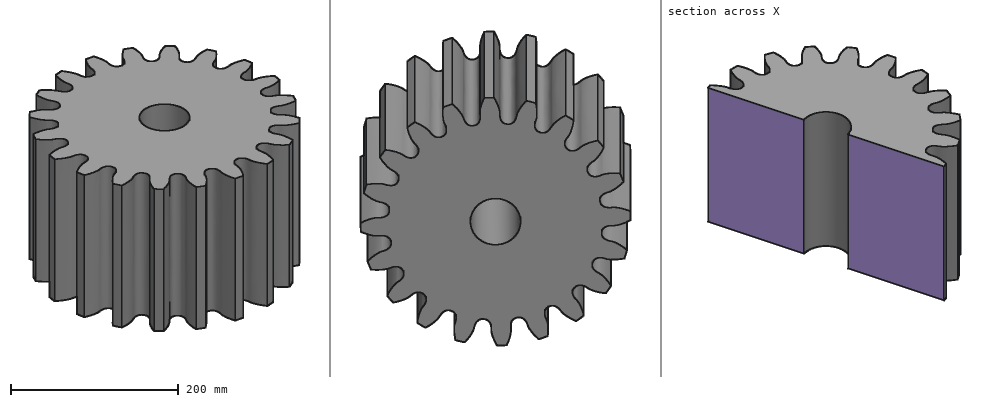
import cadquery as cq
import math

MODULE = 15.0
TOOTH_COUNT = 20
PRESSURE_ANGLE = math.radians(20.0)
PROFILE_SHIFT = -0.25
ADDENDUM_FACTOR = 1.0
DEDENDUM_FACTOR = 1.25
RACK_TIP_FACTOR = 0.38
FACE_WIDTH = 200.0
BORE_DIAMETER = 60.0

FLANK_STEPS = 6
FILLET_STEPS = 8
BISECTION_STEPS = 50

PITCH_RADIUS = MODULE * TOOTH_COUNT / 2
BASE_RADIUS = PITCH_RADIUS * math.cos(PRESSURE_ANGLE)
TIP_RADIUS = PITCH_RADIUS + MODULE * (ADDENDUM_FACTOR + PROFILE_SHIFT)
ROOT_RADIUS = PITCH_RADIUS - MODULE * (DEDENDUM_FACTOR - PROFILE_SHIFT)

TOOTH_PITCH = 2 * math.pi / TOOTH_COUNT
PITCH_TOOTH_THICKNESS = MODULE * (math.pi / 2 + 2 * PROFILE_SHIFT * math.tan(PRESSURE_ANGLE))
INVOLUTE_OF_PRESSURE_ANGLE = math.tan(PRESSURE_ANGLE) - PRESSURE_ANGLE
BASE_HALF_ANGLE = PITCH_TOOTH_THICKNESS / (2 * PITCH_RADIUS) + INVOLUTE_OF_PRESSURE_ANGLE

RACK_TIP_RADIUS = RACK_TIP_FACTOR * MODULE
CORNER_DEPTH = PITCH_RADIUS - ROOT_RADIUS - RACK_TIP_RADIUS
RACK_TIP_HALF_WIDTH = MODULE * (math.pi / 4 - DEDENDUM_FACTOR * math.tan(PRESSURE_ANGLE))
CORNER_INSET = RACK_TIP_RADIUS * (1 - math.sin(PRESSURE_ANGLE)) / math.cos(PRESSURE_ANGLE)
CORNER_OFFSET = RACK_TIP_HALF_WIDTH - CORNER_INSET


def polar_point(radius, angle):
    return (radius * math.cos(angle), radius * math.sin(angle))


def involute_polar(fraction):
    """Radius and angle from the tooth centre, from the base circle (0) to the tip (1)."""
    roll = fraction * math.sqrt((TIP_RADIUS / BASE_RADIUS) ** 2 - 1)
    radius = BASE_RADIUS * math.hypot(1, roll)
    return radius, BASE_HALF_ANGLE - (roll - math.atan(roll))


def fillet_polar(travel):
    """Radius and angle from the gap centre, for the rack corner's travel past the pitch point."""
    reach = 1 + RACK_TIP_RADIUS / math.hypot(CORNER_DEPTH, travel)
    radial = PITCH_RADIUS - CORNER_DEPTH * reach
    lateral = travel * reach
    angle = math.atan2(lateral, radial) - (travel - CORNER_OFFSET) / PITCH_RADIUS
    return math.hypot(radial, lateral), angle


def find_fillet_travel():
    """Rack travel at which the fillet curve reaches the base circle."""
    low = 0.0
    high = PITCH_RADIUS
    for _ in range(BISECTION_STEPS):
        middle = (low + high) / 2
        if fillet_polar(middle)[0] < BASE_RADIUS:
            low = middle
        else:
            high = middle
    return low


FILLET_TRAVEL = find_fillet_travel()


def flank_points(tooth_center, side):
    """Flank from base to tip; side -1 is clockwise of the tooth centre, +1 the other way."""
    points = []
    for step in range(FLANK_STEPS + 1):
        radius, angle = involute_polar(step / FLANK_STEPS)
        points.append(polar_point(radius, tooth_center + side * angle))
    return points


def fillet_points(gap_center, side):
    """Fillet from the root circle up to, but not including, the base circle."""
    points = []
    for step in range(FILLET_STEPS):
        radius, angle = fillet_polar(FILLET_TRAVEL * step / FILLET_STEPS)
        points.append(polar_point(radius, gap_center + side * angle))
    return points


def add_tooth(outline, tooth_center):
    """Add one tooth and the gap that follows it, counter-clockwise from base circle to base circle."""
    gap_center = tooth_center + TOOTH_PITCH / 2
    rising_flank = flank_points(tooth_center, -1)
    falling_flank = flank_points(tooth_center, 1)[::-1]
    falling_fillet = fillet_points(gap_center, -1)[::-1]
    rising_fillet = fillet_points(gap_center, 1)
    next_base_point = polar_point(BASE_RADIUS, tooth_center + TOOTH_PITCH - BASE_HALF_ANGLE)
    return (
        outline.spline(rising_flank[1:], includeCurrent=True)
        .threePointArc(polar_point(TIP_RADIUS, tooth_center), falling_flank[0])
        .spline(falling_flank[1:], includeCurrent=True)
        .spline(falling_fillet, includeCurrent=True)
        .threePointArc(polar_point(ROOT_RADIUS, gap_center), rising_fillet[0])
        .spline(rising_fillet[1:] + [next_base_point], includeCurrent=True)
    )


def make_toothed_body():
    """Extruded gear profile standing on Z = 0, with one tooth centred on +X."""
    outline = cq.Workplane("XY").moveTo(*polar_point(BASE_RADIUS, -BASE_HALF_ANGLE))
    for tooth in range(TOOTH_COUNT):
        outline = add_tooth(outline, tooth * TOOTH_PITCH)
    return outline.close().extrude(FACE_WIDTH)


def cut_bore(gear):
    """Drill the bore through the gear on its axis."""
    return gear.faces(">Z").workplane(origin=(0, 0, FACE_WIDTH)).hole(BORE_DIAMETER)


result = cut_bore(make_toothed_body())